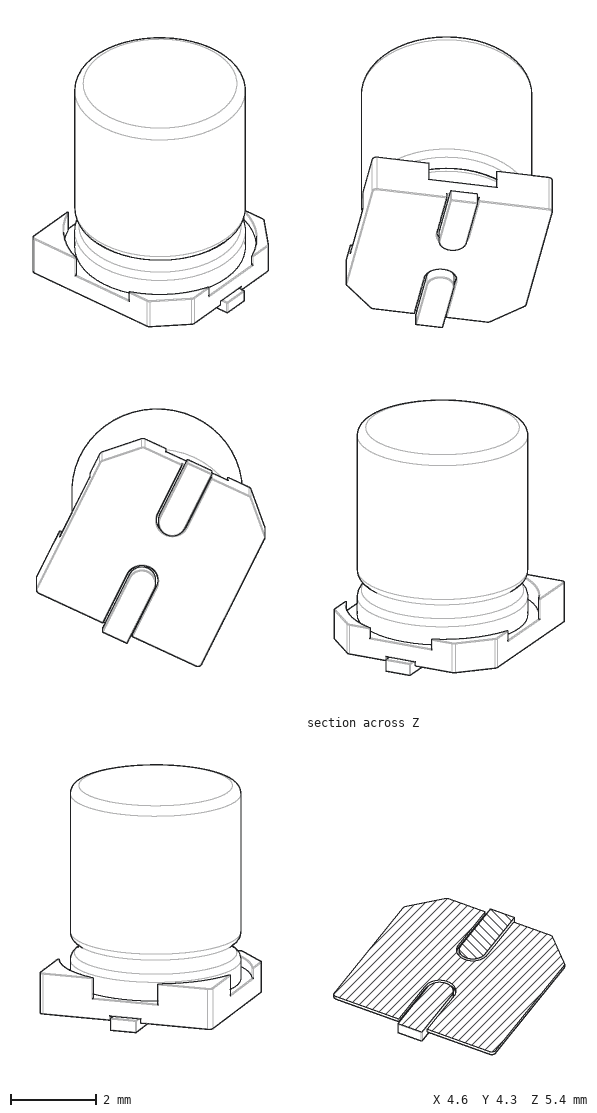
import cadquery as cq
import math

HEIGHT = 5.4
PAD_SPAN = 4.6
EDGE_ROUND = 0.02

BASE_SIDE = 4.3
BASE_BOTTOM = 0.2
BASE_TOP_TALL = 1.2
BASE_TOP_LOW = 0.95
CORNER_CUT = 0.75
CORNER_RADIUS = 0.1
RECESS_RADIUS = 2.26
RECESS_FLOOR = 0.7

CAN_RADIUS = 2.005
ROLL_RADIUS = 0.2
GROOVE_HEIGHT = 1.5
NECK_RADIUS = 1.81

PAD_HALF_WIDTH = 0.325
PAD_THICKNESS = 0.3
PAD_INNER_END = 0.495
SLOT_CLEARANCE = 0.0515

BASE_HALF = BASE_SIDE / 2
PAD_OUTER_END = PAD_SPAN / 2

TOLERANCE = 0.0005


def round_ended_bar(side, half_width, inner_end, outer_end, bottom, top):
    """Bar along X on the given side (-1 or +1) whose inner end is a half circle."""
    arc_start = side * (inner_end + half_width)
    return (
        cq.Workplane("XY", origin=(0, 0, bottom))
        .moveTo(side * outer_end, -half_width)
        .lineTo(arc_start, -half_width)
        .threePointArc((side * inner_end, 0), (arc_start, half_width))
        .lineTo(side * outer_end, half_width)
        .close()
        .extrude(top - bottom)
    )


def is_sharp_base_edge(edge):
    """True for the outer edges of the base that carry the small round."""
    centre = edge.Center()
    is_straight = edge.geomType() == "LINE"
    is_upright = is_straight and abs(edge.tangentAt(0).z) > 0.055 - TOLERANCE
    on_side_wall = is_straight and max(abs(centre.x), abs(centre.y)) > BASE_HALF - TOLERANCE
    if is_upright:
        return on_side_wall and edge.Length() < BASE_TOP_TALL - RECESS_FLOOR + TOLERANCE
    on_outline = any(abs(centre.z - z) < TOLERANCE for z in (BASE_BOTTOM, BASE_TOP_LOW, BASE_TOP_TALL))
    return on_side_wall or on_outline


def make_base():
    base = (
        cq.Workplane("XY", origin=(0, 0, BASE_BOTTOM))
        .rect(BASE_SIDE, BASE_SIDE)
        .extrude(BASE_TOP_TALL - BASE_BOTTOM)
        .edges("|Z and >X")
        .chamfer(CORNER_CUT)
        .edges("|Z")
        .fillet(CORNER_RADIUS)
    )

    lowering = (
        cq.Workplane("XY", origin=(0, 0, BASE_TOP_LOW))
        .center(BASE_HALF / 2, 0)
        .rect(BASE_HALF, BASE_SIDE)
        .extrude(BASE_TOP_TALL - BASE_TOP_LOW)
    )
    recess = (
        cq.Workplane("XY", origin=(0, 0, RECESS_FLOOR))
        .circle(RECESS_RADIUS)
        .extrude(BASE_TOP_TALL - RECESS_FLOOR)
    )
    base = base.cut(lowering).cut(recess)

    for side in (-1, 1):
        slot = round_ended_bar(
            side,
            PAD_HALF_WIDTH + SLOT_CLEARANCE,
            PAD_INNER_END - SLOT_CLEARANCE,
            PAD_OUTER_END,
            BASE_BOTTOM,
            PAD_THICKNESS,
        )
        base = base.cut(slot)

    sharp_edges = [edge for edge in base.edges().vals() if is_sharp_base_edge(edge)]
    return base.newObject(sharp_edges).fillet(EDGE_ROUND)


def make_can():
    lip_centre = CAN_RADIUS - ROLL_RADIUS
    groove_centre = NECK_RADIUS + ROLL_RADIUS
    lip_offset = math.sqrt((2 * ROLL_RADIUS) ** 2 - (groove_centre - lip_centre) ** 2)
    meet_radius = (lip_centre + groove_centre) / 2
    meet_offset = lip_offset / 2
    upper_lip = GROOVE_HEIGHT + lip_offset
    lower_lip = GROOVE_HEIGHT - lip_offset
    profile = (
        cq.Workplane("XZ")
        .moveTo(0, RECESS_FLOOR)
        .lineTo(CAN_RADIUS, RECESS_FLOOR)
        .lineTo(CAN_RADIUS, lower_lip)
        .tangentArcPoint((meet_radius, GROOVE_HEIGHT - meet_offset), relative=False)
        .threePointArc((NECK_RADIUS, GROOVE_HEIGHT), (meet_radius, GROOVE_HEIGHT + meet_offset))
        .tangentArcPoint((CAN_RADIUS, upper_lip), relative=False)
        .lineTo(CAN_RADIUS, HEIGHT - ROLL_RADIUS)
        .tangentArcPoint((lip_centre, HEIGHT), relative=False)
        .lineTo(0, HEIGHT)
        .close()
    )
    return profile.revolve(360, (0, 0, 0), (0, 1, 0))


def make_pad(side):
    pad = round_ended_bar(side, PAD_HALF_WIDTH, PAD_INNER_END, PAD_OUTER_END, 0, PAD_THICKNESS)
    outer_face = ">X" if side > 0 else "<X"
    return pad.faces(f"<Z or >Z or {outer_face}").edges().fillet(EDGE_ROUND)


base = make_base()
can = make_can()
pads = [make_pad(side) for side in (-1, 1)]

result = cq.Compound.makeCompound([base.val(), can.val(), *[pad.val() for pad in pads]])